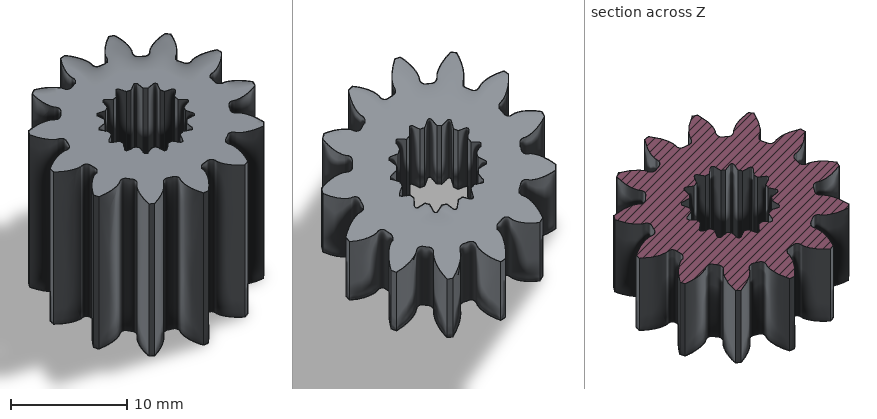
import cadquery as cq
import math

TOOTH_COUNT = 13
LENGTH = 19.05
OUTER_WIDTH = 20.28
PITCH_RADIUS = 8.25
ROOT_RADIUS = 7.35
ROOT_FILLET = 0.49
PRESSURE_ANGLE = math.radians(14.5)
PROFILE_SHIFT = 0.5
FIRST_TOOTH_ANGLE = math.pi
FLANK_STEPS = 8
SOLVER_STEPS = 20

GROOVE_COUNT = 15
BORE_RADIUS = 3.55
GROOVE_TIP_RADIUS = 4.22
GROOVE_ROUND = 0.2
GROOVE_FLANK_ANGLE = math.radians(30)
GROOVE_OVERLAP = 0.3

PITCH_ANGLE = 2 * math.pi / TOOTH_COUNT
BASE_RADIUS = PITCH_RADIUS * math.cos(PRESSURE_ANGLE)
TOLERANCE = 0.002


def polar(radius, angle):
    return (radius * math.cos(angle), radius * math.sin(angle))


def involute(angle):
    return math.tan(angle) - angle


def tooth_half_angle(radius):
    """Half the angle a tooth spans at a radius on its involute flank."""
    at_pitch = (math.pi / 2 + 2 * PROFILE_SHIFT * math.tan(PRESSURE_ANGLE)) / TOOTH_COUNT
    flank_angle = math.acos(BASE_RADIUS / radius)
    return at_pitch + involute(PRESSURE_ANGLE) - involute(flank_angle)


def find_tip_radius():
    """Tip radius at which the topmost tooth corner reaches half the outer width.

    The topmost tooth leans a quarter pitch from the Y axis.
    """
    radius = OUTER_WIDTH / 2
    for _ in range(SOLVER_STEPS):
        corner_lean = PITCH_ANGLE / 4 - tooth_half_angle(radius)
        radius = OUTER_WIDTH / 2 / math.cos(corner_lean)
    return radius


TIP_RADIUS = find_tip_radius()


def flank_points(centre_angle, side):
    """Points of one involute flank, from the base circle to the tip circle."""
    tip_roll = math.sqrt((TIP_RADIUS / BASE_RADIUS) ** 2 - 1)
    points = []
    for step in range(FLANK_STEPS + 1):
        roll = tip_roll * step / FLANK_STEPS
        radius = BASE_RADIUS * math.sqrt(1 + roll**2)
        points.append(polar(radius, centre_angle + side * tooth_half_angle(radius)))
    return points


def is_root_corner(edge):
    centre = edge.Center()
    return math.hypot(centre.x, centre.y) < ROOT_RADIUS + TOLERANCE


def make_gear():
    """Spur gear: radial flanks below the base circle, filleted into the root circle."""
    base_half_angle = tooth_half_angle(BASE_RADIUS)
    outline = cq.Workplane("XY").moveTo(*polar(ROOT_RADIUS, FIRST_TOOTH_ANGLE - base_half_angle))
    for tooth in range(TOOTH_COUNT):
        centre_angle = FIRST_TOOTH_ANGLE + tooth * PITCH_ANGLE
        rising = flank_points(centre_angle, -1)
        falling = flank_points(centre_angle, 1)[::-1]
        gap_middle = polar(ROOT_RADIUS, centre_angle + PITCH_ANGLE / 2)
        next_tooth_foot = polar(ROOT_RADIUS, centre_angle + PITCH_ANGLE - base_half_angle)
        outline = (
            outline.lineTo(*rising[0])
            .spline(rising[1:], includeCurrent=True)
            .threePointArc(polar(TIP_RADIUS, centre_angle), falling[0])
            .spline(falling[1:], includeCurrent=True)
            .lineTo(*polar(ROOT_RADIUS, centre_angle + base_half_angle))
            .threePointArc(gap_middle, next_tooth_foot)
        )
    gear = outline.close().extrude(LENGTH)
    root_corners = gear.edges("|Z").filter(is_root_corner)
    return root_corners.fillet(ROOT_FILLET)


def make_bore():
    """Round bore with V grooves, each rounded at its bottom."""
    round_centre_x = GROOVE_TIP_RADIUS - GROOVE_ROUND
    tangent_x = round_centre_x + GROOVE_ROUND * math.sin(GROOVE_FLANK_ANGLE)
    tangent_y = GROOVE_ROUND * math.cos(GROOVE_FLANK_ANGLE)
    mouth_x = BORE_RADIUS - GROOVE_OVERLAP
    mouth_y = tangent_y + (tangent_x - mouth_x) * math.tan(GROOVE_FLANK_ANGLE)
    groove = (
        cq.Workplane("XY")
        .lineTo(mouth_x, -mouth_y)
        .lineTo(tangent_x, -tangent_y)
        .threePointArc((GROOVE_TIP_RADIUS, 0), (tangent_x, tangent_y))
        .lineTo(mouth_x, mouth_y)
        .close()
        .extrude(LENGTH)
    )
    bore = cq.Workplane("XY").circle(BORE_RADIUS).extrude(LENGTH)
    for index in range(GROOVE_COUNT):
        bore = bore.union(groove.rotate((0, 0, 0), (0, 0, 1), index * 360 / GROOVE_COUNT))
    return bore


result = make_gear().cut(make_bore())